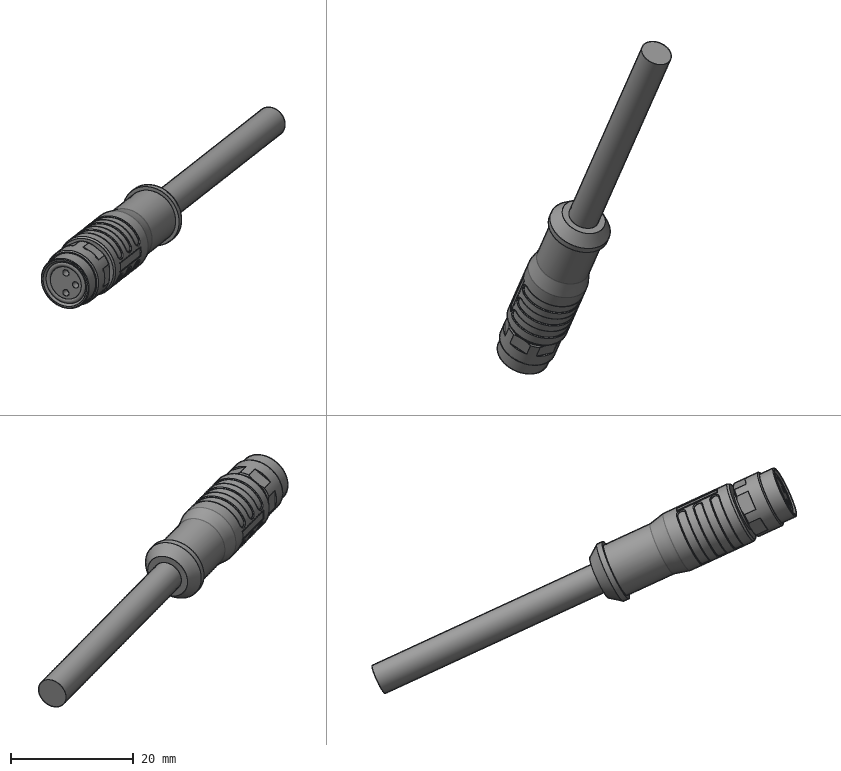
import cadquery as cq
import math

total_length = 73.7
origin = (0, 0, 0)
axis_to_back = (0, 1, 0)

cable_diameter = 5.1

grip_back = 33.7
grip_back_diameter = 7.4
flange_back = 31.7
flange_front = 30.7
waist_front = 22.3
body_back = 19.7
grip_front = 7.75
grip_diameter = 10.3
waist_diameter = 9.1
grip_edge_length = 0.4
grip_edge_drop = 0.2

groove_depth = 0.185
groove_width = 1.4
groove_pitch = 3.0
groove_middle = 13.55
groove_edge_chamfer = 0.15
groove_end_height = 1.4
surface_tolerance = 0.01
strip_length = 7.4
strip_width = 1.6
strip_depth = 0.2

core_diameter = 6.5

nut_back = 7.2
nut_front = 2.5
nut_diameter = 9.6
nut_chamfer = 0.2
flat_count = 6
flat_width = 3.3
flat_front = 4.95

collar_diameter = 8.8
mouth_diameter = 7.95
bore_diameter = 7.2
lip_height = 0.15
rim_chamfer = 0.15
insert_diameter = 5.7
insert_depth = 0.4
contact_diameter = 1.1
contact_depth = 1.5
contact_circle_radius = 1.8
contact_angles = (-90, 0, 90)


def cylinder(diameter, front, back):
    """Solid cylinder about the Y axis."""
    return cq.Workplane(cq.Solid.makeCylinder(
        diameter / 2, back - front, cq.Vector(0, front, 0), cq.Vector(*axis_to_back)))


def make_grip():
    """Turned grip: front body, taper, waist, flange and back cone."""
    grip_radius = grip_diameter / 2
    profile = [
        (0, grip_front),
        (grip_radius - grip_edge_drop, grip_front),
        (grip_radius, grip_front + grip_edge_length),
        (grip_radius, body_back),
        (waist_diameter / 2, waist_front),
        (waist_diameter / 2, flange_front),
        (grip_radius, flange_front),
        (grip_radius, flange_back),
        (grip_back_diameter / 2, grip_back),
        (0, grip_back),
    ]
    return cq.Workplane("XY").polyline(profile).close().revolve(360, origin, axis_to_back)


def make_groove_cutter(middle):
    """Ring section over the top and the bottom, with round ends near the side strips."""
    front = middle - groove_width / 2
    back = middle + groove_width / 2
    outside = cylinder(grip_diameter + 2 * groove_depth, front, back)
    floor = cylinder(grip_diameter - 2 * groove_depth, front, back)
    ring = outside.cut(floor)
    slot_height = grip_diameter - groove_end_height
    slot_middle = groove_end_height + slot_height / 2
    slots = (
        cq.Workplane("YZ")
        .pushPoints([(middle, slot_middle), (middle, -slot_middle)])
        .slot2D(slot_height, groove_width, 90)
        .extrude(grip_diameter, both=True)
    )
    return ring.intersect(slots)


def is_groove_mouth_edge(edge):
    """True for an edge on the outer grip surface that lies within the groove band."""
    point = edge.positionAt(0.5)
    on_surface = abs(math.hypot(point.x, point.z) - grip_diameter / 2) < surface_tolerance
    return on_surface and abs(edge.Center().y - groove_middle) < groove_pitch + groove_width


def make_strip_cutter(side):
    """Shallow flat-bottomed pocket on the -X (side -1) or +X (side 1) face of the grip."""
    floor = grip_diameter / 2 - strip_depth
    return (
        cq.Workplane("XY")
        .box(grip_diameter, strip_length, strip_width)
        .translate((side * (floor + grip_diameter / 2), groove_middle, 0))
    )


def make_nut():
    """Round nut with wrench flats on its back part."""
    nut = cylinder(nut_diameter, nut_front, nut_back).faces("<Y or >Y").chamfer(nut_chamfer)
    flat_distance = math.sqrt((nut_diameter / 2) ** 2 - (flat_width / 2) ** 2)
    flat_length = nut_back - flat_front
    for index in range(flat_count):
        cutter = (
            cq.Workplane("XY")
            .box(nut_diameter, flat_length, nut_diameter)
            .translate((flat_distance + nut_diameter / 2, flat_front + flat_length / 2, 0))
            .rotate(origin, axis_to_back, index * 360 / flat_count)
        )
        nut = nut.cut(cutter)
    return nut


def make_mating_end():
    """Collar with a flared mouth around an insert that has a round-topped lip."""
    insert_radius = insert_diameter / 2
    bore_radius = bore_diameter / 2
    lip_crest = ((insert_radius + bore_radius) / 2, insert_depth - lip_height)
    profile = (
        cq.Workplane("XY")
        .moveTo(0, nut_front)
        .lineTo(0, insert_depth)
        .lineTo(insert_radius, insert_depth)
        .threePointArc(lip_crest, (bore_radius, insert_depth))
        .lineTo(mouth_diameter / 2, 0)
        .lineTo(collar_diameter / 2 - rim_chamfer, 0)
        .lineTo(collar_diameter / 2, rim_chamfer)
        .lineTo(collar_diameter / 2, nut_front)
        .close()
    )
    return profile.revolve(360, origin, axis_to_back)


def contact_hole(angle):
    """Blind contact hole in the recessed insert face."""
    x = contact_circle_radius * math.cos(math.radians(angle))
    z = contact_circle_radius * math.sin(math.radians(angle))
    return cylinder(contact_diameter, insert_depth, insert_depth + contact_depth).translate((x, 0, z))


grip = make_grip()
for step in (-1, 0, 1):
    grip = grip.cut(make_groove_cutter(groove_middle + step * groove_pitch))
grip = grip.edges().filter(is_groove_mouth_edge).chamfer(groove_edge_chamfer)
for side in (-1, 1):
    grip = grip.cut(make_strip_cutter(side))

result = (
    cylinder(cable_diameter, grip_front, total_length)
    .union(grip)
    .union(cylinder(core_diameter, nut_front, grip_front))
    .union(make_nut())
    .union(make_mating_end())
)
for angle in contact_angles:
    result = result.cut(contact_hole(angle))